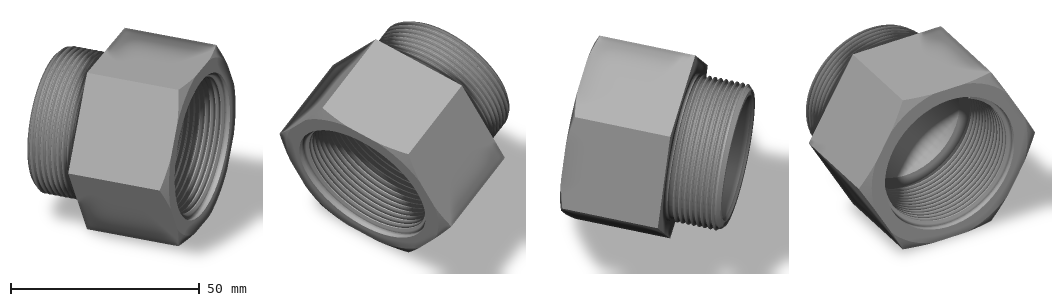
import cadquery as cq
import math

across_corners = 54.25
total_length = 42.5
spigot_length = 15.05
head_length = total_length - spigot_length
head_chamfer_length = 1.4
head_end_radius = 24.0

nine_turn_length = 13.5
pitch = nine_turn_length / 9
crest_radius = 19.9
root_radius = 19.15
crest_width = 0.1
ridge_width = 0.9
collar_start = 14.15
nose_radius = 18.55
nose_chamfer = crest_radius - nose_radius
thread_runout = 0.25
lead_in_turns = 2
first_crest = 1.0

bore_radius = 32.95 / 2
mouth_radius = 17.2
mouth_chamfer = mouth_radius - bore_radius
socket_start = 19.7
socket_radius = crest_radius
socket_crest_radius = 37.2 / 2
socket_ridge_width = 1.25
socket_crest_width = 0.25
socket_thread_gap = 1.7
overlap = 0.1


def revolve_x(points):
    """Revolve a closed (x, radius) outline about the X axis."""
    return cq.Workplane("XY").polyline(points).close().revolve(360, (0, 0, 0), (1, 0, 0))


def thread(start, end, base_radius, tip_radius, base_width, tip_width):
    """Right-handed trapezoidal thread about X, starting on the +Z side."""
    outward = math.copysign(1, tip_radius - base_radius)
    flank_slope = (base_width - tip_width) / abs(tip_radius - base_radius)
    buried_half = (base_width + flank_slope * overlap) / 2
    tip_half = tip_width / 2
    buried_radius = base_radius - outward * overlap
    path = cq.Wire.makeHelix(pitch, end - start, base_radius)
    profile = (
        cq.Workplane("XZ")
        .polyline([
            (buried_radius, -buried_half),
            (tip_radius, -tip_half),
            (tip_radius, tip_half),
            (buried_radius, buried_half),
        ])
        .close()
    )
    body = profile.sweep(cq.Workplane(path), isFrenet=True)
    body = body.rotate((0, 0, 0), (0, 1, 0), 90).rotate((0, 0, 0), (1, 0, 0), 180)
    return body.translate((start, 0, 0))


def make_head():
    """Hexagonal prism with corners on Y and a turned chamfer on the far end."""
    hexagon = cq.Workplane("YZ", origin=(spigot_length, 0, 0)).polygon(6, across_corners)
    prism = hexagon.extrude(head_length)
    corner_radius = across_corners / 2
    envelope = revolve_x([
        (spigot_length, 0),
        (spigot_length, corner_radius),
        (total_length - head_chamfer_length, corner_radius),
        (total_length, head_end_radius),
        (total_length, 0),
    ])
    return prism.intersect(envelope)


def make_spigot():
    """Threaded spigot with a chamfered nose and a plain collar next to the head."""
    ridge = thread(
        first_crest - lead_in_turns * pitch,
        collar_start - thread_runout,
        root_radius,
        crest_radius,
        ridge_width,
        crest_width,
    )
    envelope = revolve_x([
        (0, 0),
        (0, nose_radius),
        (nose_chamfer + overlap, crest_radius + overlap),
        (spigot_length, crest_radius + overlap),
        (spigot_length, 0),
    ])
    core = revolve_x([
        (0, 0),
        (0, nose_radius),
        (root_radius - nose_radius, root_radius),
        (collar_start, root_radius),
        (collar_start, crest_radius),
        (spigot_length, crest_radius),
        (spigot_length, 0),
    ])
    return core.union(ridge.intersect(envelope))


def make_bore():
    """Through bore, chamfered at the mouth and stepped out to the socket."""
    return revolve_x([
        (0, 0),
        (0, mouth_radius),
        (mouth_chamfer, bore_radius),
        (socket_start, bore_radius),
        (socket_start, socket_radius),
        (total_length, socket_radius),
        (total_length, 0),
    ])


def make_socket_thread():
    """Female thread standing inward from the socket wall."""
    return thread(
        socket_start + socket_thread_gap,
        total_length - socket_thread_gap,
        socket_radius,
        socket_crest_radius,
        socket_ridge_width,
        socket_crest_width,
    )


result = make_head().union(make_spigot()).cut(make_bore()).union(make_socket_thread())